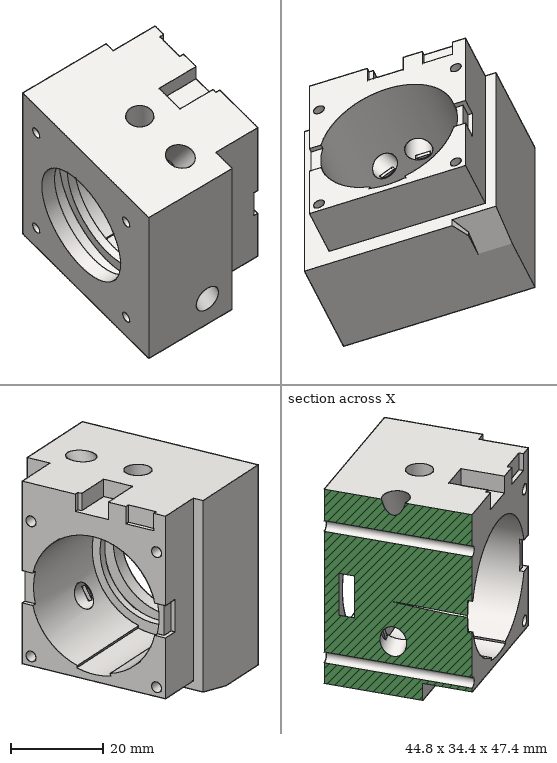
import cadquery as cq
import math


width = 44.83
depth = 34.4
height = 47.43
left = -20.8
bottom = -22.4
right = left + width
top = bottom + height

front_depth = 22.9
rear_inset_left = 2.5
rear_inset_right = 5.8
rear_inset_bottom = 4.15

bore_radius = 14.0
groove_start = 3.5
groove_end = 7.0
groove_radius = 16.8
lip_end = 9.0
cavity_radius = 16.0
channel_radius = 16.6
channel_angle = 30.0

screw_pitch = 32.0
screw_diameter = 2.5
port_diameter = 6.1
port_y = 16.07
port_angles = (90, 60, -30)
web_y = 13.6
web_inner_radius = 16.3
web_thickness = 1.0

notch_width = 7.4
cross_groove_height = 7.65
back_groove_depth = 1.05
top_notch_depth = 4.1
top_notch_length = 10.15
top_step_width = 1.0
corner_groove_offset = 5.57
corner_groove_width = 7.05
side_notch_depth = 1.0
side_notch_length = 3.95

recess_start = 13.3
recess_height = 2.05
recess_corner = 19.0
recess_width = 8.0
recess_flare_angle = 30.0


def box(x0, x1, y0, y1, z0, z1):
    return cq.Workplane("XY").box(x1 - x0, y1 - y0, z1 - z0, centered=False).translate((x0, y0, z0))


def bore_cylinder(radius, y0, y1):
    return cq.Workplane("XZ", origin=(0, y0, 0)).circle(radius).extrude(y0 - y1)


def make_body():
    front = box(left, right, 0, front_depth, bottom, top)
    rear = box(
        left + rear_inset_left, right - rear_inset_right,
        front_depth, depth,
        bottom + rear_inset_bottom, top,
    )
    return front.union(rear)


def make_bore():
    half_span = abs(bottom) * math.tan(math.radians(channel_angle / 2))
    sector = (
        cq.Workplane("XZ", origin=(0, lip_end, 0))
        .polyline([(0, 0), (half_span, bottom), (-half_span, bottom)])
        .close()
        .extrude(lip_end - depth)
    )
    channel = bore_cylinder(channel_radius, lip_end, depth).intersect(sector)
    return (
        bore_cylinder(bore_radius, 0, lip_end)
        .union(bore_cylinder(groove_radius, groove_start, groove_end))
        .union(bore_cylinder(cavity_radius, lip_end, depth))
        .union(channel)
    )


def make_port(angle):
    """A radial hole, shaped pointing along +X and then turned about the bore axis."""
    port = cq.Workplane("YZ").center(port_y, 0).circle(port_diameter / 2).extrude(width)
    radius = port_diameter / 2
    web = box(
        web_inner_radius, web_inner_radius + web_thickness,
        port_y - radius, web_y,
        -radius, radius,
    )
    return port.cut(web).rotate((0, 0, 0), (0, 1, 0), -angle)


def make_screw_holes():
    return (
        cq.Workplane("XZ")
        .rect(screw_pitch, screw_pitch, forConstruction=True)
        .vertices()
        .circle(screw_diameter / 2)
        .extrude(-depth)
    )


def make_rear_notches():
    half = notch_width / 2
    cross_half = cross_groove_height / 2
    groove_y = depth - back_groove_depth
    notch_floor = top - top_notch_depth
    corner_left = left + corner_groove_offset
    side_end = left + rear_inset_left + side_notch_depth
    cross_groove = box(left, right, groove_y, depth, -cross_half, cross_half)
    side_notch = box(left, side_end, depth - side_notch_length, depth, -cross_half, cross_half)
    top_notch = box(-half, half, depth - top_notch_length, depth, notch_floor, top)
    top_step = box(half, half + top_step_width, groove_y, depth, notch_floor, top)
    corner_groove = box(
        corner_left, corner_left + corner_groove_width, groove_y, depth, notch_floor, top
    )
    return cross_groove.union(side_notch).union(top_notch).union(top_step).union(corner_groove)


def make_bottom_recess():
    wedge = (
        cq.Workplane("YZ", origin=(left, 0, 0))
        .moveTo(recess_start, bottom)
        .lineTo(front_depth, bottom)
        .lineTo(front_depth, bottom + recess_height)
        .close()
        .extrude(width)
    )
    inner = left + recess_width
    flare = (front_depth - recess_corner) * math.tan(math.radians(recess_flare_angle))
    plan = (
        cq.Workplane("XY", origin=(0, 0, bottom))
        .moveTo(left, recess_start)
        .lineTo(inner, recess_start)
        .lineTo(inner, recess_corner)
        .lineTo(inner + flare, front_depth)
        .lineTo(left, front_depth)
        .close()
        .extrude(recess_height)
    )
    return wedge.intersect(plan)


result = make_body().cut(make_bore()).cut(make_screw_holes())
for port_angle in port_angles:
    result = result.cut(make_port(port_angle))
result = result.cut(make_rear_notches()).cut(make_bottom_recess())